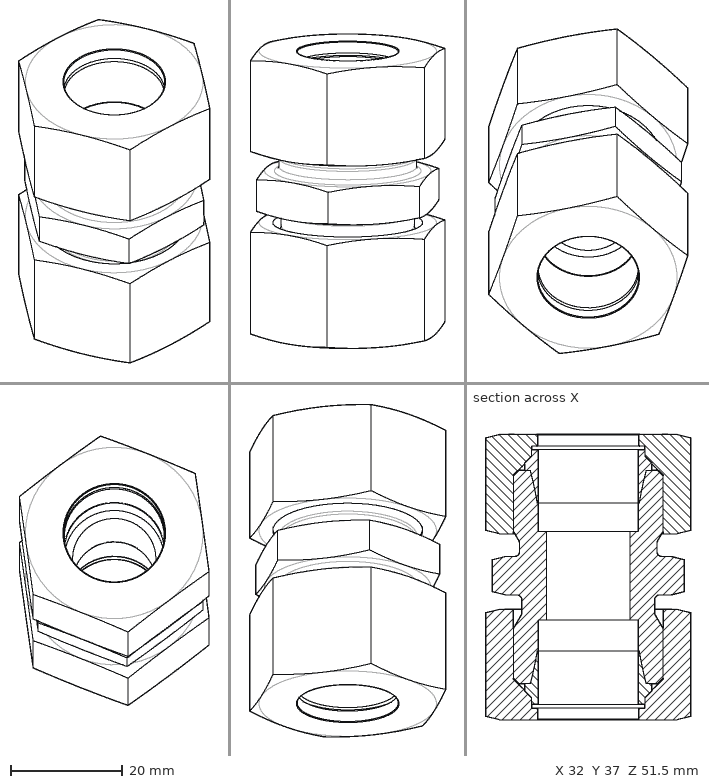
import cadquery as cq
import math


total_length = 51.5
upper_nut_height = 18.0
lower_nut_height = 20.0
hex_bottom = 22.5
hex_height = 7.0
hex_top = hex_bottom + hex_height

nut_across_flats = 32.0
body_across_flats = 30.0
hex_chamfer_angle = math.radians(15)

tube_radius = 18.0 / 2
bore_radius = 15.0 / 2
web_length = 16.0

thread_radius = 27.0 / 2
thread_lead_in = 1.0
runout_angle = math.radians(30)
runout_fillet = 1.0

upper_neck_radius = 24.84 / 2
upper_neck_length = 2.6
neck_fillet = 0.8
lower_neck_radius = 24.0 / 2
lower_neck_length = 3.4

nut_mouth_radius = 18.5 / 2
nut_bore_radius = 18.2 / 2
nut_mouth_chamfer = nut_mouth_radius - nut_bore_radius
nut_bore_depth = 2.15
shoulder_depth = 4.0

ring_back_radius = 20.3 / 2
ring_back_depth = 2.8
ring_flange_radius = 23.0 / 2
ring_nose_radius = 10.4
nose_angle = math.radians(12)
ring_tip_depth = 12.4

body_end_depth = 6.5
nose_length = ring_tip_depth - body_end_depth
ring_tip_radius = ring_nose_radius - nose_length * math.tan(nose_angle)


def revolve_about_z(profile):
    """Revolve a closed (radius, height) profile in the XZ plane about Z."""
    return profile.close().revolve(360, (0, 0, 0), (0, 1, 0))


def chamfered_hex(across_flats, height):
    """Hexagonal prism from z = 0, corners along Y, with conical corner chamfers at both ends."""
    flat_radius = across_flats / 2
    corner_radius = flat_radius / math.cos(math.pi / 6)
    corner_drop = (corner_radius - flat_radius) * math.tan(hex_chamfer_angle)
    prism = cq.Workplane("XY").polygon(6, 2 * corner_radius).extrude(height)
    prism = prism.rotate((0, 0, 0), (0, 0, 1), 30)
    envelope = revolve_about_z(
        cq.Workplane("XZ")
        .moveTo(0, 0)
        .lineTo(flat_radius, 0)
        .lineTo(corner_radius, corner_drop)
        .lineTo(corner_radius, height - corner_drop)
        .lineTo(flat_radius, height)
        .lineTo(0, height)
    )
    return prism.intersect(envelope)


def place_upper(shape):
    """Move a shape whose outer face is at z = 0 and that extends upward to the upper end, turned over."""
    return shape.rotate((0, 0, 0), (1, 0, 0), 180).translate((0, 0, total_length))


def make_nut(height):
    """Union nut with its outer face at z = 0 and its threaded mouth at the top."""
    cone_end = shoulder_depth + thread_radius - ring_back_radius
    cavity = revolve_about_z(
        cq.Workplane("XZ")
        .moveTo(0, 0)
        .lineTo(nut_mouth_radius, 0)
        .lineTo(nut_bore_radius, nut_mouth_chamfer)
        .lineTo(nut_bore_radius, nut_bore_depth)
        .lineTo(ring_back_radius, nut_bore_depth)
        .lineTo(ring_back_radius, shoulder_depth)
        .lineTo(thread_radius, cone_end)
        .lineTo(thread_radius, height)
        .lineTo(0, height)
    )
    return chamfered_hex(nut_across_flats, height).cut(cavity)


def make_cutting_ring():
    """Cutting ring in place behind an outer nut face at z = 0, its tapered nose pointing up."""
    flange_start = shoulder_depth + ring_flange_radius - ring_back_radius
    return revolve_about_z(
        cq.Workplane("XZ")
        .moveTo(tube_radius, ring_back_depth)
        .lineTo(ring_back_radius, ring_back_depth)
        .lineTo(ring_back_radius, shoulder_depth)
        .lineTo(ring_flange_radius, flange_start)
        .lineTo(ring_flange_radius, body_end_depth)
        .lineTo(ring_nose_radius, body_end_depth)
        .lineTo(ring_tip_radius, ring_tip_depth)
        .lineTo(tube_radius, ring_tip_depth)
    )


def make_body_end(neck_radius, neck_length, length):
    """Threaded end of the body, rising from the hexagon face at z = 0 to its end face."""
    tangent = runout_fillet * math.tan(runout_angle / 2)
    cone_start_radius = neck_radius + tangent * math.sin(runout_angle)
    cone_start = neck_length + tangent * math.cos(runout_angle)
    cone_end = neck_length + (thread_radius - neck_radius) / math.tan(runout_angle)
    fillet_offset = neck_fillet * (1 - math.sqrt(0.5))
    outside = revolve_about_z(
        cq.Workplane("XZ")
        .moveTo(0, 0)
        .lineTo(neck_radius + neck_fillet, 0)
        .threePointArc((neck_radius + fillet_offset, fillet_offset), (neck_radius, neck_fillet))
        .lineTo(neck_radius, neck_length - tangent)
        .tangentArcPoint((cone_start_radius, cone_start), relative=False)
        .lineTo(thread_radius, cone_end)
        .lineTo(thread_radius, length - thread_lead_in)
        .lineTo(thread_radius - thread_lead_in, length)
        .lineTo(0, length)
    )
    ring_seat = revolve_about_z(
        cq.Workplane("XZ")
        .moveTo(0, length)
        .lineTo(ring_nose_radius, length)
        .lineTo(ring_tip_radius, length - nose_length)
        .lineTo(0, length - nose_length)
    )
    socket_floor = (web_length - hex_height) / 2
    socket = cq.Workplane("XY").circle(tube_radius).extrude(length - socket_floor)
    socket = socket.translate((0, 0, socket_floor))
    return outside.cut(ring_seat).cut(socket)


def make_body():
    """Hexagon body with a threaded end above and below and a stepped bore right through."""
    upper_length = total_length - body_end_depth - hex_top
    lower_length = hex_bottom - body_end_depth
    upper_end = make_body_end(upper_neck_radius, upper_neck_length, upper_length)
    lower_end = make_body_end(lower_neck_radius, lower_neck_length, lower_length)
    upper_end = upper_end.translate((0, 0, hex_top))
    lower_end = lower_end.rotate((0, 0, 0), (1, 0, 0), 180).translate((0, 0, hex_bottom))
    hexagon = chamfered_hex(body_across_flats, hex_height).translate((0, 0, hex_bottom))
    bore = cq.Workplane("XY").circle(bore_radius).extrude(total_length)
    return hexagon.union(upper_end).union(lower_end).cut(bore)


body = make_body()
upper_nut = place_upper(make_nut(upper_nut_height))
lower_nut = make_nut(lower_nut_height)

cutting_rings = []
for is_upper in (False, True):
    ring = make_cutting_ring()
    cutting_rings.append(place_upper(ring) if is_upper else ring)

result = cq.Compound.makeCompound(
    [body.val(), upper_nut.val(), lower_nut.val()] + [ring.val() for ring in cutting_rings]
)